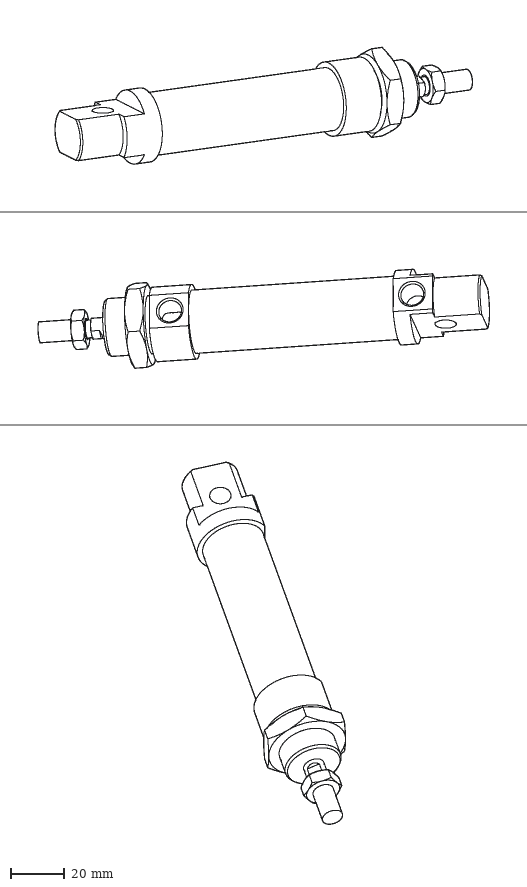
import cadquery as cq
import math

overall_length = 170.0

cap_length = 15.0
eye_length = 17.8
step_y = 26.5
rear_cap_front_y = eye_length + cap_length
front_cap_front_y = 126.0
front_cap_rear_y = front_cap_front_y - cap_length
neck_front_y = 144.2

tube_diameter = 24.0
cap_diameter = 28.2
neck_diameter = 22.0
neck_tip_diameter = 20.5
neck_chamfer_length = 1.0
eye_chamfer = (neck_diameter - neck_tip_diameter) / 2
eye_thickness = 16.0
port_face_x = -12.4

eye_hole_diameter = 8.0
eye_hole_y = 15.0
port_diameter = 8.7
port_rim_diameter = 10.2
port_chamfer = (port_rim_diameter - port_diameter) / 2
port_offset = 7.1
front_port_y = front_cap_rear_y + port_offset
rear_port_y = rear_cap_front_y - port_offset

rod_diameter = 8.0
rod_groove_diameter = 6.8
rod_shoulder_y = 150.0
wrench_flat_width = 6.3
wrench_flat_end_y = 146.7
wrench_flat_angle = 17.0

mounting_nut_corners = 34.7
mounting_nut_rear_y = 127.8
mounting_nut_thickness = 7.1
mounting_nut_angle = 30.0
rod_nut_corners = 15.0
rod_nut_rear_y = 152.0
rod_nut_thickness = 5.1
rod_nut_angle = 4.0
nut_chamfer_angle = 30.0


def cylinder(diameter, rear_y, front_y):
    """Solid cylinder about the Y axis."""
    circle = cq.Workplane("XZ", origin=(0, rear_y, 0)).circle(diameter / 2)
    return circle.extrude(rear_y - front_y)


def make_port(center_y):
    """Cutter for a chamfered air port that runs from the port face to the cylinder axis."""
    return (
        cq.Workplane("XY")
        .moveTo(port_face_x, 0)
        .lineTo(port_face_x, port_rim_diameter / 2)
        .lineTo(port_face_x + port_chamfer, port_diameter / 2)
        .lineTo(0, port_diameter / 2)
        .lineTo(0, 0)
        .close()
        .revolve(360, (0, 0, 0), (1, 0, 0))
        .translate((0, center_y, 0))
    )


def make_cap(rear_y, front_y):
    """Round end cap with one flat face for its air port."""
    length = front_y - rear_y
    right_of_face = cq.Workplane("XY").box(
        cap_diameter, length, cap_diameter, centered=(False, False, True)
    ).translate((port_face_x, rear_y, 0))
    return cylinder(cap_diameter, rear_y, front_y).intersect(right_of_face)


def make_housing():
    """Tube with its two caps, threaded neck, flattened rear eye and rod bore."""
    tube = cylinder(tube_diameter, rear_cap_front_y, front_cap_rear_y)
    front_cap = make_cap(front_cap_rear_y, front_cap_front_y)
    rear_cap = make_cap(eye_length, rear_cap_front_y)
    neck = cylinder(neck_diameter, front_cap_front_y, neck_front_y)
    neck = neck.faces(">Y").chamfer(neck_chamfer_length, eye_chamfer)
    eye = cylinder(neck_diameter, 0, eye_length).faces("<Y").chamfer(eye_chamfer)
    body = tube.union(front_cap).union(rear_cap).union(neck).union(eye)

    for side in (1, -1):
        flat = cq.Workplane("XY").box(cap_diameter, step_y, cap_diameter, centered=(True, False, True))
        body = body.cut(flat.translate((0, 0, side * (eye_thickness + cap_diameter) / 2)))

    eye_hole = cq.Workplane("XY").center(0, eye_hole_y).circle(eye_hole_diameter / 2)
    body = body.cut(eye_hole.extrude(eye_thickness, both=True))
    for port_y in (front_port_y, rear_port_y):
        body = body.cut(make_port(port_y))
    return body.cut(cylinder(rod_diameter, front_cap_rear_y, neck_front_y))


def make_rod():
    """Piston rod with a groove behind its nut and two wrench flats that ramp out at 45 degrees."""
    rod = (
        cylinder(rod_diameter, front_cap_rear_y, rod_shoulder_y)
        .union(cylinder(rod_groove_diameter, rod_shoulder_y, rod_nut_rear_y))
        .union(cylinder(rod_diameter, rod_nut_rear_y, overall_length))
    )
    flat_z = wrench_flat_width / 2
    outer_z = rod_diameter
    flat_cutter = (
        cq.Workplane("YZ")
        .polyline([
            (wrench_flat_end_y, flat_z),
            (rod_shoulder_y, flat_z),
            (rod_shoulder_y, outer_z),
            (wrench_flat_end_y - (outer_z - flat_z), outer_z),
        ])
        .close()
        .extrude(rod_diameter, both=True)
    )
    for angle in (wrench_flat_angle, wrench_flat_angle + 180):
        rod = rod.cut(flat_cutter.rotate((0, 0, 0), (0, 1, 0), angle))
    return rod


def make_nut(corners, bore, rear_y, thickness, angle):
    """Hex nut about Y with its corners chamfered by a cone at both ends."""
    hexagon = cq.Workplane("XZ").polygon(6, corners).extrude(-thickness)
    corner_radius = corners / 2
    rim_radius = corner_radius * math.cos(math.pi / 6)
    cone_depth = (corner_radius - rim_radius) * math.tan(math.radians(nut_chamfer_angle))
    envelope = (
        cq.Workplane("XY")
        .polyline([
            (0, 0),
            (rim_radius, 0),
            (corner_radius, cone_depth),
            (corner_radius, thickness - cone_depth),
            (rim_radius, thickness),
            (0, thickness),
        ])
        .close()
        .revolve(360, (0, 0, 0), (0, 1, 0))
    )
    nut = hexagon.intersect(envelope).cut(cylinder(bore, 0, thickness))
    return nut.rotate((0, 0, 0), (0, 1, 0), angle).translate((0, rear_y, 0))


housing = make_housing()
rod = make_rod()
mounting_nut = make_nut(
    mounting_nut_corners, neck_diameter, mounting_nut_rear_y, mounting_nut_thickness, mounting_nut_angle
)
rod_nut = make_nut(rod_nut_corners, rod_diameter, rod_nut_rear_y, rod_nut_thickness, rod_nut_angle)

result = cq.Compound.makeCompound([housing.val(), rod.val(), mounting_nut.val(), rod_nut.val()])